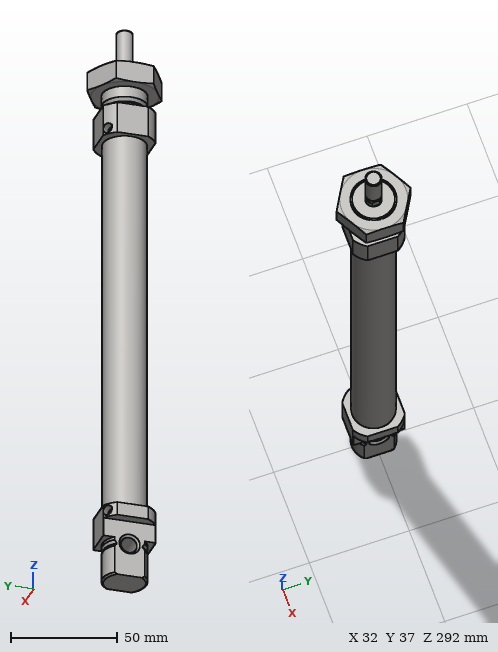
import cadquery as cq
import math

total_height = 292.0
flange_bottom = 19.5
clevis_shoulder = 29.0
tube_bottom = 35.5
tube_top = 232.0
neck_bottom = 248.0
nut_bottom = 258.5
nut_top = 269.0

tube_diameter = 21.3
cap_width = 26.0
cap_flat_width = 15.2
cap_corner_diameter = math.hypot(cap_width, cap_flat_width)

thread_diameter = 22.0
thread_end_chamfer = 1.0
neck_groove_diameter = 19.5
neck_groove_bottom = 250.0
neck_groove_root = 251.0
neck_groove_top = 253.0

eye_thickness = 16.0
eye_diameter = 22.0
eye_end_chamfer = 1.0
eye_groove_diameter = 20.5
eye_groove_bottom = 15.0
eye_groove_root = 16.4
eye_groove_top = 18.0
pin_hole_diameter = 8.0
pin_hole_height = 17.0
pin_hole_chamfer = 1.2

side_hole_diameter = 5.0
side_hole_depth = 4.5
side_hole_angle = 130.0
upper_side_hole_height = 235.4
lower_side_hole_height = 32.5

nut_width = 32.0
nut_corner_diameter = 2 * nut_width / math.sqrt(3)
nut_face_diameter = nut_width
nut_chamfer_angle = 15.0

rod_diameter = 8.0
rod_flat_width = 7.0
rod_bottom = tube_top
rod_tip_chamfer = 0.5
rod_groove_diameter = 6.5
rod_groove_bottom = 272.5
rod_groove_root = 273.5
rod_groove_top = 274.8


def cylinder(diameter, bottom, top):
    """Upright cylinder on the Z axis."""
    return cq.Workplane("XY").workplane(offset=bottom).circle(diameter / 2).extrude(top - bottom)


def revolved(points):
    """Solid of revolution about Z from (radius, height) points."""
    return cq.Workplane("XZ").polyline(points).close().revolve(360, (0, 0), (0, 1))


def cap_block(bottom, top):
    """Square block whose four corners are rounded about the Z axis."""
    height = top - bottom
    square = cq.Workplane("XY").workplane(offset=bottom).rect(cap_width, cap_width).extrude(height)
    return square.intersect(cylinder(cap_corner_diameter, bottom, top))


def neck():
    """Mounting thread with its undercut and chamfered end."""
    radius = thread_diameter / 2
    groove_radius = neck_groove_diameter / 2
    return revolved([
        (0, neck_bottom),
        (radius, neck_bottom),
        (radius, neck_groove_bottom),
        (groove_radius, neck_groove_root),
        (radius, neck_groove_top),
        (radius, nut_top - thread_end_chamfer),
        (radius - thread_end_chamfer, nut_top),
        (0, nut_top),
    ])


def clevis_eye():
    """Round end with a groove below the flange and a chamfered lower rim."""
    radius = eye_diameter / 2
    groove_radius = eye_groove_diameter / 2
    return revolved([
        (0, 0),
        (radius - eye_end_chamfer, 0),
        (radius, eye_end_chamfer),
        (radius, eye_groove_bottom),
        (groove_radius, eye_groove_root),
        (radius, eye_groove_top),
        (radius, flange_bottom),
        (0, flange_bottom),
    ])


def clevis_side_cuts():
    """Material removed on both sides to leave the flat eye."""
    side_width = (cap_corner_diameter - eye_thickness) / 2
    return (
        cq.Workplane("XY")
        .pushPoints([(side * (eye_thickness + side_width) / 2, 0) for side in (-1, 1)])
        .rect(side_width, cap_corner_diameter)
        .extrude(clevis_shoulder)
    )


def pin_hole():
    """Cross hole along X, countersunk at both faces of the eye."""
    radius = pin_hole_diameter / 2
    face = eye_thickness / 2
    profile = [
        (-face, 0),
        (-face, radius + pin_hole_chamfer),
        (-face + pin_hole_chamfer, radius),
        (face - pin_hole_chamfer, radius),
        (face, radius + pin_hole_chamfer),
        (face, 0),
    ]
    hole = cq.Workplane("XZ").polyline(profile).close().revolve(360, (0, 0), (1, 0))
    return hole.translate((0, 0, pin_hole_height))


def side_hole(height):
    """Blind radial hole at the given height."""
    outer = cap_corner_diameter / 2
    hole = (
        cq.Workplane("YZ")
        .workplane(offset=outer - side_hole_depth)
        .center(0, height)
        .circle(side_hole_diameter / 2)
        .extrude(2 * side_hole_depth)
    )
    return hole.rotate((0, 0, 0), (0, 0, 1), side_hole_angle)


def make_rod():
    """Piston rod with spanner flats and an undercut below its tip."""
    radius = rod_diameter / 2
    groove_radius = rod_groove_diameter / 2
    rod = revolved([
        (0, rod_bottom),
        (radius, rod_bottom),
        (radius, rod_groove_bottom),
        (groove_radius, rod_groove_root),
        (radius, rod_groove_top),
        (radius, total_height - rod_tip_chamfer),
        (radius - rod_tip_chamfer, total_height),
        (0, total_height),
    ])
    flat_depth = (rod_diameter - rod_flat_width) / 2
    flats = (
        cq.Workplane("XY")
        .workplane(offset=nut_top)
        .pushPoints([(side * (rod_flat_width + flat_depth) / 2, 0) for side in (-1, 1)])
        .rect(flat_depth, rod_diameter)
        .extrude(rod_groove_top - nut_top)
    )
    return rod.cut(flats)


def make_housing():
    """Tube with both end caps, bored for the piston rod."""
    housing = cap_block(flange_bottom, tube_bottom).union(clevis_eye()).cut(clevis_side_cuts())
    housing = housing.union(cylinder(tube_diameter, tube_bottom, tube_top))
    housing = housing.union(cap_block(tube_top, neck_bottom)).union(neck())
    housing = housing.cut(pin_hole())
    for height in (lower_side_hole_height, upper_side_hole_height):
        housing = housing.cut(side_hole(height))
    return housing.cut(cylinder(rod_diameter, rod_bottom, nut_top))


def make_nut():
    """Hexagon nut with both faces chamfered at the corners."""
    height = nut_top - nut_bottom
    hex_turn = 30
    hexagon = (
        cq.Workplane("XY")
        .workplane(offset=nut_bottom)
        .polygon(6, nut_corner_diameter)
        .extrude(height)
        .rotate((0, 0, 0), (0, 0, 1), hex_turn)
    )
    corner = nut_corner_diameter / 2
    face = nut_face_diameter / 2
    drop = (corner - face) * math.tan(math.radians(nut_chamfer_angle))
    chamfers = revolved([
        (0, nut_bottom),
        (face, nut_bottom),
        (corner, nut_bottom + drop),
        (corner, nut_top - drop),
        (face, nut_top),
        (0, nut_top),
    ])
    return hexagon.intersect(chamfers).cut(cylinder(thread_diameter, nut_bottom, nut_top))


housing = make_housing()
nut = make_nut()
rod = make_rod()
result = cq.Compound.makeCompound([housing.val(), nut.val(), rod.val()])